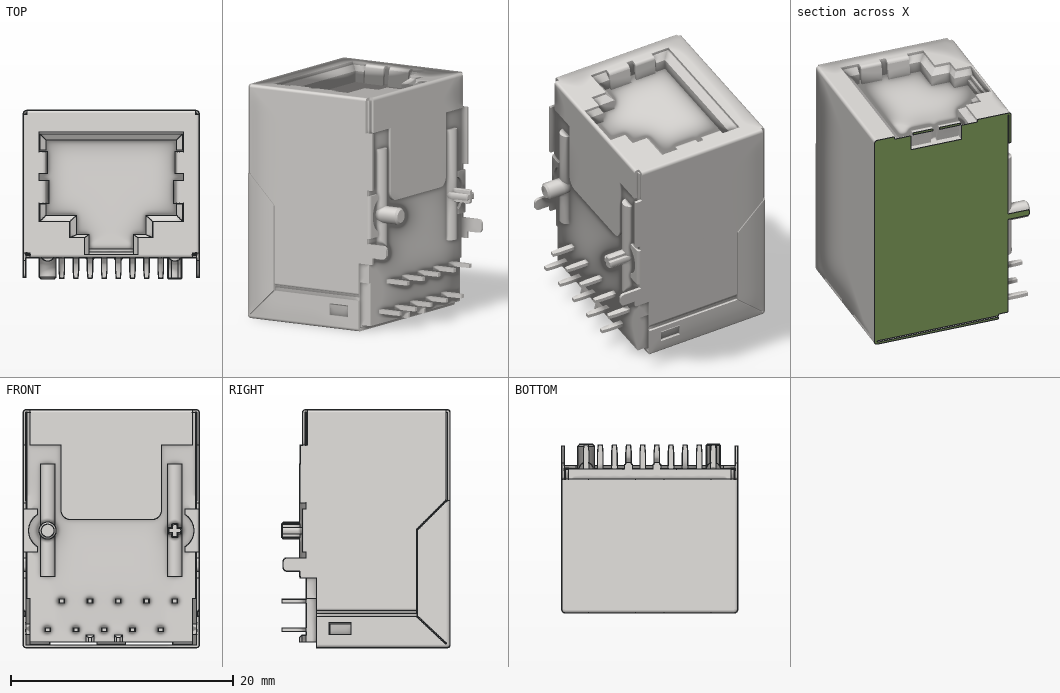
import cadquery as cq

SIDES = (-1, 1)

SHELL_WIDTH = 15.87
SHELL_HEIGHT = 21.45
SHELL_BACK = 12.98
SHEET = 0.25
EDGE_RADIUS = 0.28
CORNER_RADIUS = 0.36
HALF_WIDTH = SHELL_WIDTH / 2
INNER_HALF_WIDTH = HALF_WIDTH - SHEET
INNER_TOP = SHELL_HEIGHT - SHEET
INNER_BACK = SHELL_BACK - SHEET
CLEARANCE = 0.09
FRONT_STANDOFF = 0.06
SHELL_FRONT = -FRONT_STANDOFF - SHEET

HOUSING_HALF_WIDTH = INNER_HALF_WIDTH - CLEARANCE
HOUSING_BOTTOM = 0.51
HOUSING_STEP = 4.46
LOWER_HALF_WIDTH = 7.34
CENTRE_PAD_HALF_WIDTH = 1.29
OUTER_PAD_START = 5.53
LOWER_WALL_FRONT = 0.92

FLAP_HALF_WIDTH = 7.31
FLAP_BOTTOM = 18.25
TONGUE_HALF_WIDTH = 4.53
TONGUE_BOTTOM = 11.55
TONGUE_RADIUS = 0.85

SKIRT_PROJECTION = 0.54
SKIRT_BOTTOM = 6.26
UPPER_WALL_FRONT = 0.13
NOTCH_BOTTOM = 8.1
NOTCH_TOP = 13.05
LEG_BOTTOM = 6.89
LEG_LENGTH = 2.08
LEG_RADIUS = 0.39
TAB_BOTTOM = 8.62
TAB_TOP = 12.5
TAB_INNER_X = 6.63
TAB_CUTOUT_RADIUS = 1.72

SEAM_WIDTH = 0.1
SEAM_DEPTH = 0.17
COVER_TOP = 13.25
COVER_EDGE_Y = 10.0
COVER_EDGE_TOP = 10.64
GROOVE_BOTTOM = 2.83
GROOVE_FLOOR_TOP = 3.1
GROOVE_TOP = 3.52
GROOVE_LIP_HEIGHT = 0.15
GROOVE_LIP_DEPTH = 0.09
GROOVE_LIP_BULGE = 0.02
GROOVE_DEPTH = 0.21

WINDOW_FRONT = 2.05
WINDOW_BACK = 4.05
WINDOW_BOTTOM = 1.2
WINDOW_TOP = 2.3
LATCH_FRONT_GAP = 0.1
LATCH_TOP_GAP = 0.15
LATCH_BOTTOM_X = 7.64
LATCH_TOP_X = 7.85

OPENING_HALF_WIDTHS = (6.52, 3.75, 2.4)
OPENING_STEPS = (11.0, 2.98, 1.5, 0)
MOUTH_HALF_WIDTHS = (6.41, 3.71, 2.4)
MOUTH_STEPS = (10.83, 2.98, 1.5, 0)
CAVITY_HALF_WIDTHS = (5.88, 3.13, 2.02)
CAVITY_STEPS = (10.3, 3.52, 1.78, 0)
CHAMFER_BOTTOM = 20.75
CAVITY_FLOOR = 19.73
LEDGES = ((0.47, 20.27), (0.21, 20.7))
SPRING_POCKET = (4.55, 9.42)
SPRINGS = ((7.27, 9.25, 6.18, 5.73), (4.6, 6.67, 6.26, 5.62))
SPRING_CREASE_X = 5.88

PEG_X = 5.73
PEG_Z = 10.55
PEG_LENGTH = 2.23
PEG_RADIUS = 0.77
PEG_CHAMFER = 0.2
CROSS_RADIUS = 0.65
CROSS_BAR = 0.6
CROSS_CHAMFER = 0.1
RAIL_RADIUS = 0.65
RAIL_INSET = 0.05
RAIL_BOTTOM = 6.44
RAIL_TOP = 16.55

PIN_COUNT = 10
PIN_PITCH = 2 * PEG_X / (PIN_COUNT - 1)
PIN_ROWS = (1.63, 4.2)
PIN_HALF_WIDTH = 0.25
PIN_TIP_HALF_WIDTH = 0.2
PIN_HEIGHT = 0.35
PIN_TAPER_START = 1.45
PIN_LENGTH = 2.17

STUB_CENTRES = (-1.9, 0.65)
STUB_WIDTH = 0.73
STUB_TOP = 1.14
STUB_LENGTH = 0.6
STUB_CHAMFER = 0.21


def block(x_range, y_range, z_range):
    """Box between two corners; each range may be given in either order."""
    (x0, x1), (y0, y1), (z0, z1) = (sorted(r) for r in (x_range, y_range, z_range))
    return cq.Workplane("XY").box(x1 - x0, y1 - y0, z1 - z0, centered=False).translate((x0, y0, z0))


def centred_block(half_width, y_range, z_range):
    return block((-half_width, half_width), y_range, z_range)


def toward_front(z, x):
    """Plane on the mounting face whose extrusions leave the part (toward -Y)."""
    return cq.Workplane("XZ", origin=(x, 0, z))


def make_housing():
    housing = centred_block(HOUSING_HALF_WIDTH, (0, INNER_BACK), (HOUSING_STEP, INNER_TOP))
    housing = housing.union(centred_block(LOWER_HALF_WIDTH, (0, INNER_BACK), (HOUSING_BOTTOM, HOUSING_STEP)))
    pad_depth = (LOWER_WALL_FRONT, INNER_BACK)
    pad_height = (SHEET + CLEARANCE, HOUSING_BOTTOM)
    housing = housing.union(centred_block(CENTRE_PAD_HALF_WIDTH, pad_depth, pad_height))
    for side in SIDES:
        pad_width = (side * OUTER_PAD_START, side * LOWER_HALF_WIDTH)
        housing = housing.union(block(pad_width, pad_depth, pad_height)).union(make_latch(side))
    return housing


def make_latch(side):
    """Wedge on the housing that fills most of a shell window and leans outward toward its top."""
    latch_top = WINDOW_TOP - LATCH_TOP_GAP
    profile = [
        (side * LOWER_HALF_WIDTH, WINDOW_BOTTOM),
        (side * LATCH_BOTTOM_X, WINDOW_BOTTOM),
        (side * LATCH_TOP_X, latch_top),
        (side * LOWER_HALF_WIDTH, latch_top),
    ]
    start = cq.Workplane("XZ", origin=(0, WINDOW_BACK, 0)).polyline(profile).close()
    return start.extrude(WINDOW_BACK - WINDOW_FRONT - LATCH_FRONT_GAP)


def make_case():
    """Sheet box open toward -Y, with its front edges trimmed and its back corners and slots cut."""
    case = centred_block(HALF_WIDTH, (SHELL_FRONT, SHELL_BACK), (0, SHELL_HEIGHT))
    case = case.edges("|Z and >Y").fillet(CORNER_RADIUS)
    case = case.faces(">Z or <Z").edges("not <Y").fillet(EDGE_RADIUS)
    case = case.edges("<Y and >Z").fillet(EDGE_RADIUS)
    case = case.cut(centred_block(INNER_HALF_WIDTH, (SHELL_FRONT, INNER_BACK), (SHEET, INNER_TOP)))
    case = case.cut(centred_block(HALF_WIDTH, (SHELL_FRONT, LOWER_WALL_FRONT), (0, SKIRT_BOTTOM)))
    case = case.cut(centred_block(HALF_WIDTH, (SHELL_FRONT, 0), (SKIRT_BOTTOM, FLAP_BOTTOM)))
    for side in SIDES:
        beside_flap = (side * FLAP_HALF_WIDTH, side * HALF_WIDTH)
        case = case.cut(block(beside_flap, (SHELL_FRONT, UPPER_WALL_FRONT), (FLAP_BOTTOM, SHELL_HEIGHT)))
        open_corner = (side * (HALF_WIDTH - CORNER_RADIUS), side * HALF_WIDTH)
        corner_depth = (SHELL_BACK - CORNER_RADIUS, SHELL_BACK)
        case = case.cut(block(open_corner, corner_depth, (COVER_TOP, SHELL_HEIGHT)))
        slot = (side * CENTRE_PAD_HALF_WIDTH, side * OUTER_PAD_START)
        case = case.cut(block(slot, (INNER_BACK, SHELL_BACK), (SHEET, HOUSING_BOTTOM)))
    return case


def make_flap():
    flap = centred_block(FLAP_HALF_WIDTH, (SHELL_FRONT, 0), (FLAP_BOTTOM, SHELL_HEIGHT))
    flap = flap.edges("<Y and >Z").fillet(EDGE_RADIUS)
    flap = flap.cut(centred_block(FLAP_HALF_WIDTH, (-FRONT_STANDOFF, 0), (FLAP_BOTTOM, INNER_TOP)))
    tongue = centred_block(TONGUE_HALF_WIDTH, (SHELL_FRONT, -FRONT_STANDOFF), (TONGUE_BOTTOM, FLAP_BOTTOM))
    return flap.union(tongue.edges("|Y and <Z").fillet(TONGUE_RADIUS))


def make_skirt(side):
    wall = (side * INNER_HALF_WIDTH, side * HALF_WIDTH)
    skirt = block(wall, (-SKIRT_PROJECTION, LOWER_WALL_FRONT), (SKIRT_BOTTOM, FLAP_BOTTOM))
    skirt = skirt.cut(block(wall, (-SKIRT_PROJECTION, 0), (NOTCH_BOTTOM, NOTCH_TOP)))
    leg = block(wall, (-LEG_LENGTH, 0), (LEG_BOTTOM, NOTCH_BOTTOM))
    return skirt.union(leg.edges("|X and <Y").fillet(LEG_RADIUS))


def make_inward_tab(side):
    height = (TAB_BOTTOM, TAB_TOP)
    tab = block((side * TAB_INNER_X, side * HALF_WIDTH), (SHELL_FRONT, -FRONT_STANDOFF), height)
    tab = tab.union(block((side * INNER_HALF_WIDTH, side * HALF_WIDTH), (SHELL_FRONT, 0), height))
    outer_edge = "|Z and <Y and >X" if side > 0 else "|Z and <Y and <X"
    tab = tab.edges(outer_edge).fillet(EDGE_RADIUS)
    return tab.cut(toward_front(PEG_Z, side * PEG_X).circle(TAB_CUTOUT_RADIUS).extrude(-SHELL_FRONT))


def seam(points, side):
    """Shallow groove of constant width along a (y, z) polyline on one side wall."""
    groove = None
    surface = cq.Workplane("YZ", origin=(side * HALF_WIDTH, 0, 0))
    for start, end in zip(points, points[1:]):
        run = cq.Vector(end[0] - start[0], end[1] - start[1])
        across = cq.Vector(-run.y, run.x).normalized() * (SEAM_WIDTH / 2)
        corners = [
            (start[0] + across.x, start[1] + across.y),
            (end[0] + across.x, end[1] + across.y),
            (end[0] - across.x, end[1] - across.y),
            (start[0] - across.x, start[1] - across.y),
        ]
        piece = surface.polyline(corners).close().extrude(-side * SEAM_DEPTH)
        groove = piece if groove is None else groove.union(piece)
    return groove


def cover_groove(side):
    """Groove above the cover's lower band: a flat floor, a slope and a rounded upper lip."""
    outer = side * HALF_WIDTH
    floor = side * (HALF_WIDTH - GROOVE_DEPTH)
    lip_x = outer - side * GROOVE_LIP_DEPTH
    lip_z = GROOVE_TOP - GROOVE_LIP_HEIGHT
    lip_middle_x = outer - side * (GROOVE_LIP_DEPTH / 2 - GROOVE_LIP_BULGE)
    lip_middle_z = GROOVE_TOP - GROOVE_LIP_HEIGHT / 2
    groove = (
        cq.Workplane("XZ", origin=(0, COVER_EDGE_Y, 0))
        .moveTo(outer, GROOVE_BOTTOM)
        .lineTo(floor, GROOVE_BOTTOM)
        .lineTo(floor, GROOVE_FLOOR_TOP)
        .lineTo(lip_x, lip_z)
        .threePointArc((lip_middle_x, lip_middle_z), (outer, GROOVE_TOP))
        .close()
    )
    return groove.extrude(COVER_EDGE_Y - LOWER_WALL_FRONT)


def make_shell():
    shell = make_case().union(make_flap())
    cover_corner_y = SHELL_BACK - CORNER_RADIUS
    for side in SIDES:
        shell = shell.union(make_skirt(side)).union(make_inward_tab(side))
        cover_outline = [
            (cover_corner_y, COVER_TOP),
            (COVER_EDGE_Y, COVER_EDGE_TOP),
            (COVER_EDGE_Y, GROOVE_BOTTOM),
            (cover_corner_y, CORNER_RADIUS),
        ]
        shell = shell.cut(seam(cover_outline, side)).cut(cover_groove(side))
        wall = (side * INNER_HALF_WIDTH, side * HALF_WIDTH)
        shell = shell.cut(block(wall, (WINDOW_FRONT, WINDOW_BACK), (WINDOW_BOTTOM, WINDOW_TOP)))
    return shell


def stepped_outline(z, half_widths, steps):
    """Closed plug outline at height z: full width at the back, two steps inward to the front."""
    right_half = []
    for half_width, back, front in zip(half_widths, steps, steps[1:]):
        right_half += [(half_width, back), (half_width, front)]
    left_half = [(-x, y) for x, y in reversed(right_half)]
    return cq.Workplane("XY", origin=(0, 0, z)).polyline(right_half + left_half).close()


def make_plug_cavity():
    mouth = stepped_outline(INNER_TOP, MOUTH_HALF_WIDTHS, MOUTH_STEPS)
    throat = stepped_outline(CHAMFER_BOTTOM, CAVITY_HALF_WIDTHS, CAVITY_STEPS)
    funnel = cq.Workplane(cq.Solid.makeLoft([throat.wires().val(), mouth.wires().val()], True))
    cavity = stepped_outline(CAVITY_FLOOR, CAVITY_HALF_WIDTHS, CAVITY_STEPS)
    cavity = cavity.extrude(CHAMFER_BOTTOM - CAVITY_FLOOR)
    opening = stepped_outline(INNER_TOP, OPENING_HALF_WIDTHS, OPENING_STEPS).extrude(SHEET)
    pocket = centred_block(OPENING_HALF_WIDTHS[0], SPRING_POCKET, (CAVITY_FLOOR, INNER_TOP))
    void = cavity.union(funnel).union(opening).union(pocket)
    for back, height in LEDGES:
        void = void.cut(centred_block(CAVITY_HALF_WIDTHS[-1], (0, back), (CAVITY_FLOOR, height)))
    return void


def make_spring(front, back, bend_x, foot_x, side):
    """Contact spring: the top sheet bent down into the cavity to touch its floor."""
    root_x = OPENING_HALF_WIDTHS[0]
    spring = (
        cq.Workplane("XZ", origin=(0, back, 0))
        .moveTo(root_x, SHELL_HEIGHT)
        .lineTo(bend_x, SHELL_HEIGHT)
        .tangentArcPoint((SPRING_CREASE_X, INNER_TOP), relative=False)
        .lineTo(foot_x, CAVITY_FLOOR)
        .lineTo(foot_x + SHEET, CAVITY_FLOOR)
        .lineTo(SPRING_CREASE_X + SHEET, INNER_TOP)
        .lineTo(root_x, INNER_TOP)
        .close()
        .extrude(back - front)
    )
    return spring if side > 0 else spring.mirror("YZ")


def make_rail(side):
    rail = cq.Workplane("XY", origin=(side * PEG_X, RAIL_INSET, RAIL_BOTTOM)).circle(RAIL_RADIUS)
    return rail.extrude(RAIL_TOP - RAIL_BOTTOM)


def make_round_peg():
    peg = toward_front(PEG_Z, -PEG_X).circle(PEG_RADIUS).extrude(PEG_LENGTH)
    return peg.faces("<Y").chamfer(PEG_CHAMFER)


def make_cross_peg():
    base = toward_front(PEG_Z, PEG_X)
    bars = base.rect(2 * CROSS_RADIUS, CROSS_BAR).extrude(PEG_LENGTH)
    bars = bars.union(base.rect(CROSS_BAR, 2 * CROSS_RADIUS).extrude(PEG_LENGTH))
    round_stock = base.circle(CROSS_RADIUS).extrude(PEG_LENGTH)
    return bars.intersect(round_stock).faces("<Y").chamfer(CROSS_CHAMFER)


def make_pin(x, z):
    pin = (
        cq.Workplane("XY", origin=(x, 0, z - PIN_HEIGHT / 2))
        .moveTo(-PIN_HALF_WIDTH, 0)
        .lineTo(-PIN_HALF_WIDTH, -PIN_TAPER_START)
        .lineTo(-PIN_TIP_HALF_WIDTH, -PIN_LENGTH)
        .lineTo(PIN_TIP_HALF_WIDTH, -PIN_LENGTH)
        .lineTo(PIN_HALF_WIDTH, -PIN_TAPER_START)
        .lineTo(PIN_HALF_WIDTH, 0)
        .close()
    )
    return pin.extrude(PIN_HEIGHT)


def make_stub(x):
    stub = block((x - STUB_WIDTH / 2, x + STUB_WIDTH / 2), (-STUB_LENGTH, 0), (HOUSING_BOTTOM, STUB_TOP))
    return stub.faces("<Y").edges("not <Z").chamfer(STUB_CHAMFER)


result = make_housing().union(make_shell()).cut(make_plug_cavity())

for side in SIDES:
    result = result.union(make_rail(side))
    for spring_sizes in SPRINGS:
        result = result.union(make_spring(*spring_sizes, side))

result = result.union(make_round_peg()).union(make_cross_peg())

for index in range(PIN_COUNT):
    pin_x = -PEG_X + index * PIN_PITCH
    result = result.union(make_pin(pin_x, PIN_ROWS[index % 2]))

for stub_x in STUB_CENTRES:
    result = result.union(make_stub(stub_x))